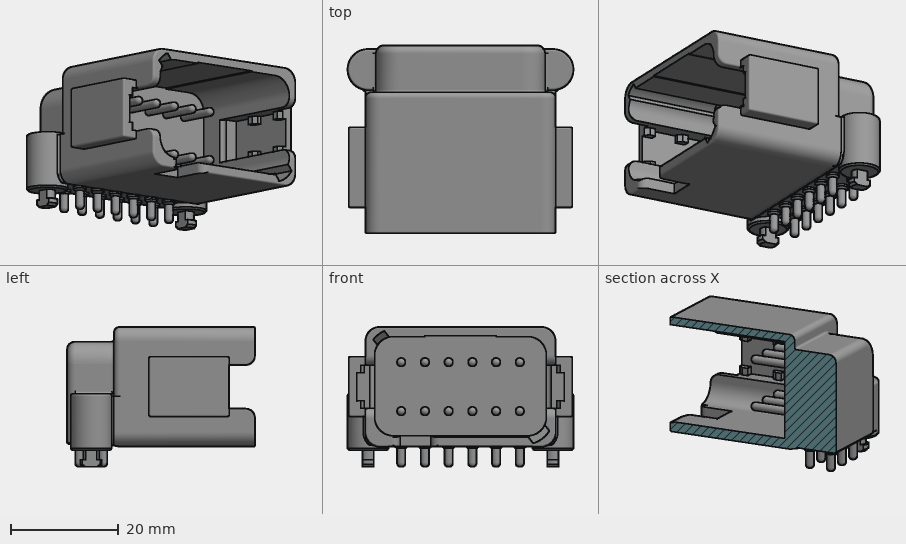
import cadquery as cq
import math


SHELL_WIDTH = 35.3
SHELL_BOTTOM = 0.67
SHELL_TOP = 22.92
SHELL_DEPTH = 26.2
SHELL_CORNER_R = 2.65
SHELL_REAR_R = 1.1
SHELL_LIP_R = 0.35

CAVITY_HALF_WIDTH = 15.95
CAVITY_FLOOR = 2.7
CAVITY_TOP = 21.12
CAVITY_CORNER_R = 3.5
CAVITY_DEPTH = 24.0
FLOOR_BEVEL_HEIGHT = 0.3
FLOOR_BEVEL_LENGTH = 1.2
ROOF_RELIEF_WIDTH = 13.2
ROOF_RELIEF_DEPTH = 0.18

KEYWAY_TOP_CENTRE = (-15.16, 21.36)
KEYWAY_TOP_WIDTH = 2.6
KEYWAY_BOTTOM_CENTRE = (14.99, 2.46)
KEYWAY_BOTTOM_WIDTH = 3.8
KEYWAY_ANGLE = 37.5
KEYWAY_REACH = 2.5
KEYWAY_FLOOR_R = 5.3
KEYWAY_LENGTH = 18.2
KEYWAY_RAMP_LENGTH = 2.0
KEYWAY_RAMP_DEPTH = 1.5

NOTCH_LEFT = -11.15
NOTCH_RIGHT = -5.5
NOTCH_DEPTH = 7.0
NOTCH_CORNER_R = 1.55

WINDOW_BOTTOM = 7.77
WINDOW_TOP = 15.8
WINDOW_CORNER_R = 1.8
WINDOW_REAR_R = 0.85
COVER_HALF_SPAN = 20.78
COVER_FRONT = 4.8
COVER_REAR = 19.7
COVER_BOTTOM = 6.26
COVER_TOP = 17.38
COVER_EDGE_R = 0.35
COVER_REAR_WALL = 1.0
STOP_RAMP_X = 18.55
COVER_INNER_X = 19.26
STOP_HEIGHT = 1.42
STOP_RAMP_WIDTH = 0.65
STOP_LENGTH = 2.0
STOP_RAMP_LENGTH = 0.85
STOP_POSITIONS = (COVER_FRONT, COVER_FRONT + 7)

REAR_WIDTH = 31.4
REAR_BOTTOM = 1.15
REAR_TOP = 20.18
REAR_FACE = 34.9
REAR_CORNER_R = 4.2
REAR_EDGE_R = 1.5
REAR_ROOT_R = 0.45
REAR_BOTTOM_CHAMFER = 0.3

EAR_HALF_SPAN = 20.975
EAR_R = 3.83
EAR_Y = 30.4
EAR_HEIGHT = 10.5
EAR_TOP_R = 0.45
EAR_BOTTOM_CHAMFER = 0.35
EAR_FLARE = 0.4
EAR_ROOT_TOP = 10.0
HEEL_BEVEL_HEIGHT = 0.3
HEEL_BEVEL_LENGTH = 1.4
PEG_WIDTH = 2.15
PEG_NECK_R = 1.5
PEG_HEAD_R = 2.0
PEG_NECK_HEIGHT = 1.7
PEG_CHAMFER = 0.5

PIN_COLUMNS = 6
PIN_PITCH = 4.4
PIN_R = 0.79
PIN_ROW_HEIGHTS = (7.28, 16.36)
TAIL_ROW_Y = (32.6, 28.2)
PIN_TIP_Y = 16.0
TAIL_LENGTH = 3.07
COLLAR_R = 1.2
COLLAR_BOTTOM = 0.35

EAR_X = EAR_HALF_SPAN - EAR_R
SHELL_HALF_WIDTH = SHELL_WIDTH / 2
SHELL_MID_Z = (SHELL_BOTTOM + SHELL_TOP) / 2


def box(x_range, y_range, z_range):
    """Axis-aligned block between the given limits."""
    sizes = [high - low for low, high in (x_range, y_range, z_range)]
    corner = (x_range[0], y_range[0], z_range[0])
    return cq.Workplane("XY").box(*sizes, centered=False).translate(corner)


def both_sides(body):
    """The body together with its mirror image across X = 0."""
    return body.union(body.mirror("YZ"))


def make_shell():
    """Solid shell with the side windows cut; one round runs along its front and window edges."""
    half = SHELL_HALF_WIDTH
    shell = box((-half, half), (0, SHELL_DEPTH), (SHELL_BOTTOM, SHELL_TOP))
    shell = shell.edges("|Y").fillet(SHELL_CORNER_R)
    shell = shell.faces(">Y").edges(">Z").fillet(SHELL_REAR_R)
    shell = shell.cut(both_sides(make_window()))

    def is_sill(edge):
        middle = edge.Center()
        return abs(middle.x) > half - 0.01 and WINDOW_BOTTOM - 0.01 < middle.z < WINDOW_TOP + 0.01

    return shell.edges("|Y").filter(is_sill).fillet(SHELL_LIP_R)


def make_rear_housing():
    half = REAR_WIDTH / 2
    rear = box((-half, half), (CAVITY_DEPTH, REAR_FACE), (REAR_BOTTOM, REAR_TOP))
    rear = rear.edges("|Y and >Z").fillet(REAR_CORNER_R)
    rear = rear.faces(">Y").edges("not <Z").fillet(REAR_EDGE_R)
    return rear.faces("<Z").edges(">Y").chamfer(REAR_BOTTOM_CHAMFER)


def make_ear_cove():
    """Concave round between the left ear top and the side of the rear housing."""
    r = REAR_ROOT_R
    side_x = -REAR_WIDTH / 2
    return (
        cq.Workplane("XZ", origin=(0, SHELL_DEPTH, 0))
        .moveTo(side_x - r, EAR_HEIGHT)
        .radiusArc((side_x, EAR_HEIGHT + r), -r)
        .lineTo(side_x + r, EAR_HEIGHT + r)
        .lineTo(side_x + r, EAR_HEIGHT - r)
        .lineTo(side_x - r, EAR_HEIGHT - r)
        .close()
        .extrude(SHELL_DEPTH + REAR_EDGE_R - REAR_FACE)
    )


def make_ear():
    ear = cq.Workplane("XY").center(-EAR_X, EAR_Y).circle(EAR_R).extrude(EAR_HEIGHT)
    web = box((-EAR_X, -REAR_WIDTH / 2 + 2), (EAR_Y - EAR_R, EAR_Y + EAR_R), (REAR_BOTTOM, EAR_HEIGHT))
    ear = ear.faces("<Z").chamfer(EAR_BOTTOM_CHAMFER)
    return ear.union(web).faces(">Z").edges().fillet(EAR_TOP_R)


def shell_outline(y):
    """Sketch of the shell's rounded outline in the plane at the given Y."""
    return (
        cq.Workplane("XZ", origin=(0, y, 0))
        .center(0, SHELL_MID_Z)
        .sketch()
        .rect(SHELL_WIDTH, SHELL_TOP - SHELL_BOTTOM)
        .vertices()
        .fillet(SHELL_CORNER_R)
        .finalize()
    )


def make_ear_root():
    """Square shell end below the ear tops, with a sloped step that leads out to the ears."""
    root = shell_outline(CAVITY_DEPTH).extrude(CAVITY_DEPTH - SHELL_DEPTH)
    flare = shell_outline(SHELL_DEPTH).extrude(-EAR_FLARE, taper=-45)
    limits = box((-EAR_X - 1, EAR_X + 1), (0, REAR_FACE), (SHELL_BOTTOM, EAR_ROOT_TOP))
    return root.union(flare).intersect(limits)


def make_heel_bevel():
    """Shallow ramp along the bottom rear edge of the shell, ending just ahead of the ears."""
    end = SHELL_DEPTH + EAR_FLARE
    return (
        cq.Workplane("YZ")
        .moveTo(end - HEEL_BEVEL_LENGTH, SHELL_BOTTOM)
        .lineTo(end, SHELL_BOTTOM + HEEL_BEVEL_HEIGHT)
        .lineTo(end, SHELL_BOTTOM)
        .close()
        .extrude(EAR_X + EAR_FLARE, both=True)
    )


def make_peg():
    """Flat-sided peg whose neck and wider head both follow a circle."""
    axis = cq.Workplane("XY").center(-EAR_X, EAR_Y)
    neck = axis.circle(PEG_NECK_R).extrude(-PEG_NECK_HEIGHT)
    head = axis.workplane(offset=-TAIL_LENGTH).circle(PEG_HEAD_R).extrude(TAIL_LENGTH - PEG_NECK_HEIGHT)
    head = head.faces("<Z").chamfer(PEG_CHAMFER)
    flats = box(
        (-EAR_X - PEG_WIDTH / 2, -EAR_X + PEG_WIDTH / 2),
        (EAR_Y - PEG_HEAD_R, EAR_Y + PEG_HEAD_R),
        (-TAIL_LENGTH, 0),
    )
    return neck.union(head).intersect(flats)


def make_cover():
    cover = box(
        (-COVER_HALF_SPAN, -CAVITY_HALF_WIDTH - 1),
        (COVER_FRONT, COVER_REAR),
        (COVER_BOTTOM, COVER_TOP),
    )
    return cover.edges("not(>X)").fillet(COVER_EDGE_R)


def make_keyway(centre, width, angle):
    """Groove along Y with a round bottom and a ramped end, turned to face its cavity corner."""
    half = width / 2
    bottom_depth = KEYWAY_FLOOR_R - math.sqrt(KEYWAY_FLOOR_R**2 - half**2)
    ramp_end = KEYWAY_LENGTH + KEYWAY_RAMP_LENGTH
    groove = (
        cq.Workplane("XZ")
        .moveTo(-half, 0)
        .threePointArc((0, bottom_depth), (half, 0))
        .lineTo(half, -KEYWAY_REACH)
        .lineTo(-half, -KEYWAY_REACH)
        .close()
        .extrude(-ramp_end)
    )
    side_outline = (
        cq.Workplane("YZ")
        .moveTo(0, -KEYWAY_REACH)
        .lineTo(0, bottom_depth)
        .lineTo(KEYWAY_LENGTH, bottom_depth)
        .lineTo(ramp_end, -KEYWAY_RAMP_DEPTH)
        .lineTo(ramp_end, -KEYWAY_REACH)
        .close()
        .extrude(half, both=True)
    )
    turned = groove.intersect(side_outline).rotate((0, 0, 0), (0, 1, 0), angle)
    return turned.translate((centre[0], 0, centre[1]))


def make_cavity():
    half = CAVITY_HALF_WIDTH
    cavity = box((-half, half), (0, CAVITY_DEPTH), (CAVITY_FLOOR, CAVITY_TOP))
    cavity = cavity.edges("|Y").fillet(CAVITY_CORNER_R)
    relief = ROOF_RELIEF_WIDTH / 2
    cavity = cavity.union(
        box((-relief, relief), (0, CAVITY_DEPTH), (SHELL_MID_Z, CAVITY_TOP + ROOF_RELIEF_DEPTH))
    )
    cavity = cavity.union(make_keyway(KEYWAY_TOP_CENTRE, KEYWAY_TOP_WIDTH, -KEYWAY_ANGLE))
    return cavity.union(make_keyway(KEYWAY_BOTTOM_CENTRE, KEYWAY_BOTTOM_WIDTH, 180 - KEYWAY_ANGLE))


def make_floor_bevel():
    half = CAVITY_HALF_WIDTH - CAVITY_CORNER_R
    return (
        cq.Workplane("YZ")
        .moveTo(0, CAVITY_FLOOR)
        .lineTo(FLOOR_BEVEL_LENGTH, CAVITY_FLOOR)
        .lineTo(0, CAVITY_FLOOR - FLOOR_BEVEL_HEIGHT)
        .close()
        .extrude(half, both=True)
    )


def make_notch():
    r = NOTCH_CORNER_R
    return (
        cq.Workplane("XY")
        .moveTo(NOTCH_LEFT - r, 0)
        .radiusArc((NOTCH_LEFT, r), -r)
        .lineTo(NOTCH_LEFT, NOTCH_DEPTH)
        .lineTo(NOTCH_RIGHT, NOTCH_DEPTH)
        .lineTo(NOTCH_RIGHT, r)
        .radiusArc((NOTCH_RIGHT + r, 0), -r)
        .close()
        .extrude(CAVITY_FLOOR + 1)
    )


def make_window():
    """Opening in the left side wall, flared at the front and closed behind the latch cover."""
    r = WINDOW_CORNER_R
    rear = COVER_REAR - COVER_REAR_WALL
    return (
        cq.Workplane("YZ")
        .moveTo(0, WINDOW_BOTTOM - r)
        .radiusArc((r, WINDOW_BOTTOM), r)
        .lineTo(rear, WINDOW_BOTTOM)
        .lineTo(rear, WINDOW_TOP)
        .lineTo(r, WINDOW_TOP)
        .radiusArc((0, WINDOW_TOP + r), r)
        .close()
        .extrude(COVER_INNER_X - CAVITY_HALF_WIDTH + 1)
        .translate((-COVER_INNER_X, 0, 0))
    )


def make_window_rounding():
    """Rounds the vertical edge between the rear of the left window and the cavity wall."""
    r = WINDOW_REAR_R
    edge_x = -CAVITY_HALF_WIDTH
    window_rear = COVER_REAR - COVER_REAR_WALL
    return (
        cq.Workplane("XY")
        .moveTo(edge_x - r, window_rear)
        .radiusArc((edge_x, window_rear + r), r)
        .lineTo(edge_x, window_rear)
        .close()
        .extrude(WINDOW_TOP - WINDOW_BOTTOM)
        .translate((0, 0, WINDOW_BOTTOM))
    )


def make_stop(front, bottom):
    """Stop on the inside of the left latch cover, with a ramp towards the opening."""
    tip_x = -STOP_RAMP_X + STOP_RAMP_WIDTH
    return (
        cq.Workplane("XY")
        .moveTo(-COVER_INNER_X, front)
        .lineTo(-STOP_RAMP_X, front)
        .lineTo(tip_x, front + STOP_RAMP_LENGTH)
        .lineTo(tip_x, front + STOP_LENGTH)
        .lineTo(-COVER_INNER_X, front + STOP_LENGTH)
        .close()
        .extrude(STOP_HEIGHT)
        .translate((0, 0, bottom))
    )


def make_pin(x, row_z):
    length = CAVITY_DEPTH + 1 - PIN_TIP_Y
    pin = cq.Workplane("XZ").center(x, row_z).circle(PIN_R).extrude(length)
    pin = pin.faces("<Y").edges().fillet(PIN_R * 0.98)
    return pin.translate((0, CAVITY_DEPTH + 1, 0))


def make_tail(x, y):
    tail = cq.Workplane("XY").center(x, y).circle(PIN_R).extrude(TAIL_LENGTH + REAR_BOTTOM + 1)
    tail = tail.faces("<Z").edges().fillet(PIN_R * 0.9).translate((0, 0, -TAIL_LENGTH))
    collar = cq.Workplane("XY").center(x, y).circle(COLLAR_R).extrude(REAR_BOTTOM + 1 - COLLAR_BOTTOM)
    collar = collar.faces("<Z").chamfer(COLLAR_R - PIN_R - 0.01).translate((0, 0, COLLAR_BOTTOM))
    return tail.union(collar)


def round_rear_root(body):
    """Fillets the inside corner where the rear housing leaves the shell."""
    half = REAR_WIDTH / 2 + 0.1
    root = cq.selectors.BoxSelector(
        (-half, SHELL_DEPTH - 0.01, REAR_BOTTOM + 0.1),
        (half, SHELL_DEPTH + 0.01, REAR_TOP + 0.1),
    )
    return body.edges(root).fillet(REAR_ROOT_R)


body = round_rear_root(make_shell().union(make_rear_housing()))
body = body.cut(make_cavity()).cut(make_floor_bevel()).cut(make_notch())
body = body.union(make_ear_root()).cut(make_heel_bevel())
body = body.union(both_sides(make_ear().union(make_ear_cove()))).union(both_sides(make_peg()))
latch_cover = make_cover().cut(make_window()).cut(make_window_rounding())
body = body.union(both_sides(latch_cover)).cut(both_sides(make_window_rounding()))

for stop_front in STOP_POSITIONS:
    for stop_bottom in (WINDOW_BOTTOM, WINDOW_TOP - STOP_HEIGHT):
        body = body.union(both_sides(make_stop(stop_front, stop_bottom)))

for column in range(PIN_COLUMNS):
    pin_x = (column - (PIN_COLUMNS - 1) / 2) * PIN_PITCH
    for row_z, tail_y in zip(PIN_ROW_HEIGHTS, TAIL_ROW_Y):
        body = body.union(make_pin(pin_x, row_z)).union(make_tail(pin_x, tail_y))

result = body